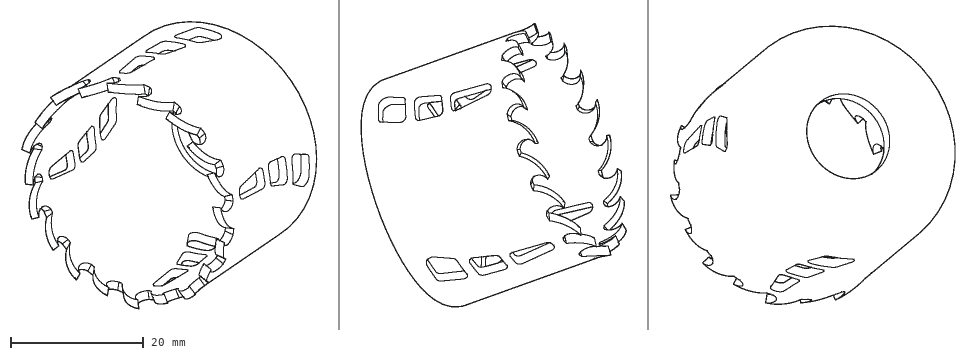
import cadquery as cq
import math


body_radius = 18.1
wall = 1.47
base_thickness = 3.0
inner_radius = body_radius - wall
rim_depth = 24.73
back_fillet = 2.8
floor_fillet = 0.9

hole_radius = 6.7
hole_mouth_radius = 7.27

overall_depth = 27.65
tooth_height = overall_depth - rim_depth
tooth_count = 20
tooth_pitch = 360 / tooth_count
first_tip_angle = tooth_pitch / 2
tip_set = 0.33
tooth_root = 4.63
gullet_root = -0.05
tooth_back = (-2.83, 2.02)
gullet_undercut = (-1.05, 1.2)

window_groups = 4
windows = [
    [(-11.7, 4.0, 1.18), (6.4, 4.0, 0.77), (12.4, 8.52, 0.77), (-3.5, 8.52, 0.77)],
    [(-1.4, 10.05, 0.77), (13.6, 10.05, 0.77), (15.5, 14.62, 0.77), (3.6, 14.62, 0.77)],
    [(4.8, 16.05, 0.75), (15.9, 16.05, 0.75), (13.0, 22.85, 0.9), (6.8, 22.85, 0.9)],
]

window_clearance = 0.8
tooth_clearance = 1.47


def make_cup():
    outer = cq.Workplane("XZ").circle(body_radius).extrude(rim_depth)
    outer = outer.faces(">Y").edges().fillet(back_fillet)
    cavity = cq.Workplane("XZ", origin=(0, -base_thickness, 0)).circle(inner_radius).extrude(rim_depth)
    cavity = cavity.faces(">Y").edges().fillet(floor_fillet)
    cup = outer.cut(cavity)
    hole = cq.Workplane("XZ").circle(hole_radius).extrude(base_thickness)
    mouth_depth = hole_mouth_radius - hole_radius
    mouth = cq.Solid.makeCone(
        hole_mouth_radius, hole_radius, mouth_depth, pnt=(0, -base_thickness, 0), dir=(0, 1, 0)
    )
    return cup.cut(hole).cut(cq.Workplane(mouth))


def make_window_cutter(corners):
    """Tapered cutter along +Z whose sides all point at the axis."""
    near = inner_radius - window_clearance
    far = body_radius + window_clearance

    def corner_point(angle, depth, radius):
        return (-radius * math.tan(math.radians(angle)), -depth, radius)

    def section(radius):
        points = [cq.Vector(corner_point(angle, depth, radius)) for angle, depth, _ in corners]
        return cq.Wire.makePolygon(points, close=True)

    cutter = cq.Workplane(cq.Solid.makeLoft([section(near), section(far)], True))
    for angle, depth, corner_radius in corners:
        edge_middle = corner_point(angle, depth, (near + far) / 2)
        cutter = cutter.edges(cq.NearestToPointSelector(edge_middle)).fillet(corner_radius)
    return cutter


def make_lean_ring(lean):
    """Ring carrying the teeth: flush with the wall at the rim, moved by lean at the tips."""
    profile = [
        (inner_radius, -rim_depth),
        (body_radius, -rim_depth),
        (body_radius + lean, -overall_depth),
        (inner_radius + lean, -overall_depth),
    ]
    return cq.Workplane("XY").polyline(profile).close().revolve(360, (0, 0, 0), (0, 1, 0))


def make_tooth_blank():
    """Prism along +X with the tooth outline; its tip lies at z = 0."""
    prism_start = inner_radius - tooth_clearance
    prism_length = wall + 2 * tooth_clearance
    outline_plane = cq.Plane(origin=(prism_start, -rim_depth, 0), xDir=(0, 0, 1), normal=(1, 0, 0))
    return (
        cq.Workplane(outline_plane)
        .moveTo(-tooth_root, 0)
        .threePointArc(tooth_back, (0, tooth_height))
        .threePointArc(gullet_undercut, (gullet_root, 0))
        .close()
        .extrude(prism_length)
    )


def around_axis(shape, angle):
    """Turn a shape about Y; positive angles run from +X toward +Z."""
    return shape.rotate((0, 0, 0), (0, 1, 0), -angle)


cutters = []
for corners in windows:
    cutter = make_window_cutter(corners)
    for group in range(window_groups):
        cutters.append(around_axis(cutter, group * 360 / window_groups).val())

blank = make_tooth_blank()
inward_tooth = make_lean_ring(-tip_set).intersect(blank)
outward_tooth = make_lean_ring(tip_set).intersect(blank)
teeth = []
for index in range(tooth_count):
    tooth = outward_tooth if index % 2 else inward_tooth
    teeth.append(around_axis(tooth, first_tip_angle + index * tooth_pitch).val())

cup = make_cup().val().cut(*cutters)
result = cq.Workplane(cup.fuse(*teeth))